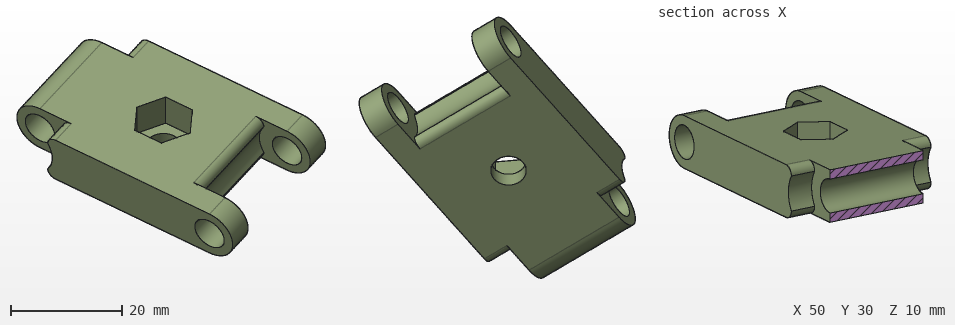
import cadquery as cq
import math

length = 50.0
width = 30.0
thickness = 10.0

knuckle_width = 20.0
end_radius = thickness / 2
pivot_x = length / 2 - end_radius
pin_diameter = 6.35

clearance_radius = 6.0
shoulder_x = pivot_x - end_radius
shoulder_fillet = 1.75

nut_across_flats = 10.0
nut_depth = 6.7
bolt_diameter = 6.35


def cylinder_along_y(x, radius, span):
    """Cylinder centred on the XZ plane, with its axis parallel to Y."""
    return cq.Workplane("XZ").center(x, 0).circle(radius).extrude(span / 2, both=True)


def hinge_strip(x_sign, strip_width, y):
    """Strip with a round end at one pivot and a relieved shoulder at the other."""
    pivot = x_sign * pivot_x
    shoulder = -x_sign * shoulder_x
    strip = (
        cq.Workplane("XY")
        .box(abs(pivot - shoulder), strip_width, thickness)
        .translate(((pivot + shoulder) / 2, 0, 0))
    )
    shoulder_face = "<X" if x_sign > 0 else ">X"
    strip = strip.faces(shoulder_face).edges("|Y").fillet(shoulder_fillet)
    strip = strip.union(cylinder_along_y(pivot, end_radius, strip_width))
    strip = strip.cut(cylinder_along_y(-pivot, clearance_radius, strip_width))
    strip = strip.cut(cylinder_along_y(pivot, pin_diameter / 2, strip_width))
    return strip.translate((0, y, 0))


arm_width = (width - knuckle_width) / 2
arm_y = (knuckle_width + arm_width) / 2
body = hinge_strip(-1, knuckle_width, 0)
for side in (-1, 1):
    body = body.union(hinge_strip(1, arm_width, side * arm_y))

nut_across_corners = nut_across_flats / math.cos(math.pi / 6)
nut_pocket = (
    cq.Workplane("XY")
    .workplane(offset=thickness / 2 - nut_depth)
    .polygon(6, nut_across_corners)
    .extrude(nut_depth)
)
bolt_hole = cq.Workplane("XY").circle(bolt_diameter / 2).extrude(thickness / 2, both=True)

result = body.cut(nut_pocket).cut(bolt_hole)